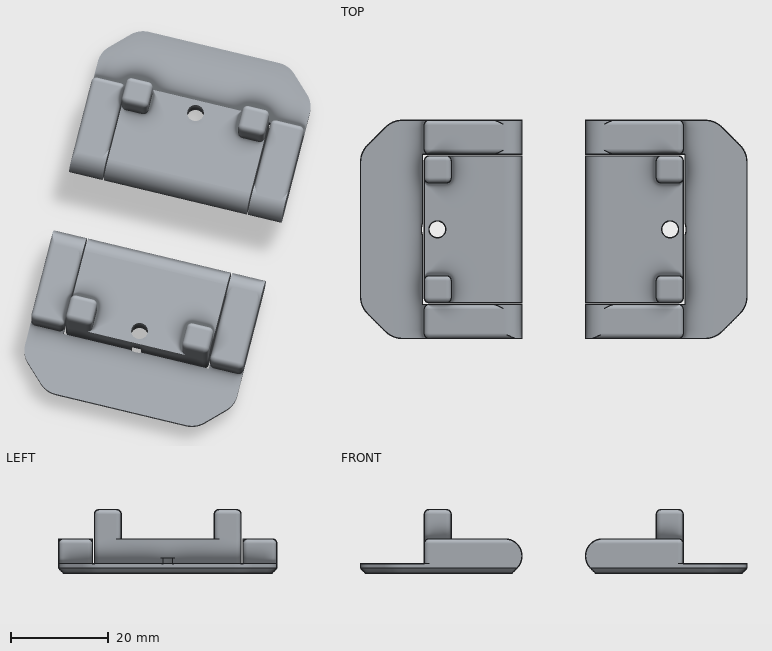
import cadquery as cq
import math

total_length = 79.0
total_width = 44.6
total_height = 13.0
half_length = 33.0
outer_x = -total_length / 2
nose_x = outer_x + half_length

plate_thickness = 2.0
body_height = 7.0
corner_cut = 6.55
corner_radius = 5.0
bottom_chamfer = 1.0
edge_fillet = 1.0
ridge_setback = 13.0
ridge_x = outer_x + ridge_setback

insert_width = 30.0
gap = 0.3
post_size = 5.5
opening_width = insert_width + 2 * gap
opening_x = ridge_x - gap
ridge_width = (total_width - opening_width) / 2

hole_setback = 2.7
hole_x = ridge_x + hole_setback
hole_diameter = 3.4
head_diameter = 5.7
head_depth = 3.15
head_clearance_diameter = 6.5

nose_radius = body_height / 2
overrun = 7.9


def block(x_min, x_max, y_min, y_max, height):
    """Box standing on Z = 0 between the given limits."""
    return (
        cq.Workplane("XY")
        .box(x_max - x_min, y_max - y_min, height, centered=False)
        .translate((x_min, y_min, 0))
    )


def rounded_block(x_min, x_max, y_min, y_max, height):
    """Block with its upright and top edges rounded."""
    return block(x_min, x_max, y_min, y_max, height).edges("|Z or >Z").fillet(edge_fillet)


def nose_prism(x_min, width):
    """Prism along Y: round nose on the +X end, running tangent into a 45 degree bottom bevel."""
    arc_inset = nose_radius * (1 - math.sqrt(0.5))
    return (
        cq.Workplane("XZ")
        .moveTo(x_min, 0)
        .lineTo(nose_x - 2 * arc_inset, 0)
        .lineTo(nose_x - arc_inset, arc_inset)
        .threePointArc((nose_x, nose_radius), (nose_x - nose_radius, body_height))
        .lineTo(x_min, body_height)
        .close()
        .extrude(width / 2, both=True)
    )


def make_plate():
    half_width = total_width / 2
    end_x = nose_x + overrun
    return (
        cq.Workplane("XY")
        .polyline([
            (end_x, -half_width),
            (outer_x + corner_cut, -half_width),
            (outer_x, -half_width + corner_cut),
            (outer_x, half_width - corner_cut),
            (outer_x + corner_cut, half_width),
            (end_x, half_width),
        ])
        .close()
        .extrude(plate_thickness)
        .edges("|Z and (not >X)")
        .fillet(corner_radius)
        .faces("<Z")
        .chamfer(bottom_chamfer)
    )


def make_ridge(y_min, round_front):
    """Rounded bar on the plate, ending in a round nose that keeps square ends along Y.

    With round_front the nose is rounded on its front edge as well.
    """
    y_max = y_min + ridge_width
    nose_center_x = nose_x - nose_radius
    end_x = nose_x + overrun
    bar = rounded_block(ridge_x, end_x, y_min, y_max, body_height)
    bar = bar.cut(block(nose_center_x, end_x, y_min, y_max, body_height))

    roll = (
        cq.Workplane("XZ", origin=(nose_center_x, y_max, nose_radius))
        .circle(nose_radius)
        .extrude(ridge_width)
    )
    if round_front:
        front_rounding = block(ridge_x, end_x, y_min, y_max, body_height)
        roll = roll.intersect(front_rounding.edges("<Y and >Z").fillet(edge_fillet))

    return bar.union(roll).cut(block(ridge_x, end_x, y_min, y_max, plate_thickness))


def make_frame():
    opening_y = opening_width / 2
    opening = block(opening_x, nose_x + overrun, -opening_y, opening_y, plate_thickness)
    relief = cq.Workplane("XY").center(hole_x, 0).circle(head_clearance_diameter / 2).extrude(plate_thickness)
    plate = make_plate().intersect(nose_prism(outer_x, total_width)).cut(opening).cut(relief)
    front_ridge = make_ridge(-total_width / 2, round_front=True)
    back_ridge = make_ridge(opening_y, round_front=False)
    return plate.union(front_ridge).union(back_ridge)


def make_insert():
    insert = nose_prism(ridge_x, insert_width).edges("|Z and <X").fillet(edge_fillet)
    for y_min in (-insert_width / 2, insert_width / 2 - post_size):
        post = rounded_block(ridge_x, ridge_x + post_size, y_min, y_min + post_size, total_height)
        insert = insert.union(post)
    hole = cq.Workplane("XY").center(hole_x, 0).circle(hole_diameter / 2).extrude(body_height)
    head_recess = cq.Workplane("XY").center(hole_x, 0).circle(head_diameter / 2).extrude(head_depth)
    return insert.cut(hole).cut(head_recess)


frame = make_frame()
insert = make_insert()

bodies = []
for left_body in (frame, insert):
    right_body = left_body.mirror("YZ")
    bodies.append(left_body.solids().val())
    bodies.append(right_body.solids().val())

result = cq.Compound.makeCompound(bodies)